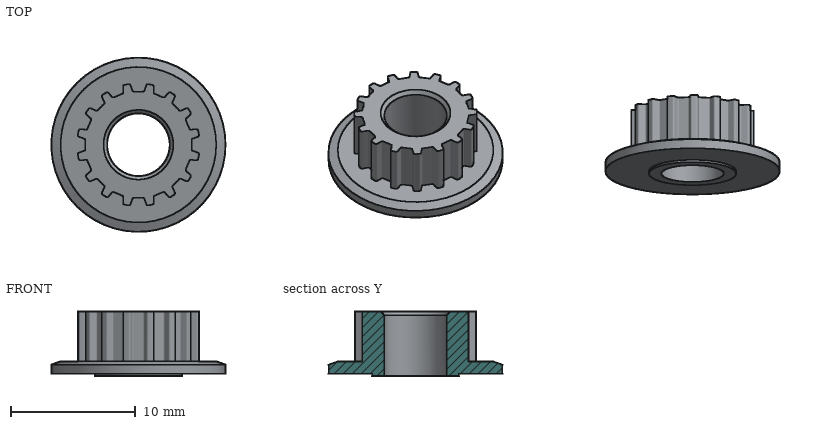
import cadquery as cq
import math

total_height = 5.2
boss_height = 0.18
flange_edge_height = 0.74
flange_bevel_height = 0.27
flange_top = boss_height + flange_edge_height + flange_bevel_height

boss_radius = 3.5
flange_radius = 7.0
flange_top_radius = 6.25
bore_radius = 2.5
bore_chamfer = 0.3

tooth_count = 16
tip_radius = 4.93
groove_floor_distance = 4.27
groove_floor_width = 0.91
groove_flank_angle = 20.0
groove_floor_fillet = 0.11
tooth_tip_fillet = 0.14


def flange_and_boss():
    """Round flange bevelled on its upper rim, with a thin boss below it."""
    profile = [
        (0, 0),
        (boss_radius, 0),
        (boss_radius, boss_height),
        (flange_radius, boss_height),
        (flange_radius, boss_height + flange_edge_height),
        (flange_top_radius, flange_top),
        (0, flange_top),
    ]
    return cq.Workplane("XZ").polyline(profile).close().revolve(360, (0, 0), (0, 1))


def groove_cutter():
    """Prism for one groove on the +X side, widening outward past the tooth tips."""
    outer_distance = tip_radius + tooth_tip_fillet
    widening = (outer_distance - groove_floor_distance) * math.tan(math.radians(groove_flank_angle))
    floor_half = groove_floor_width / 2
    outer_half = floor_half + widening
    outline = [
        (groove_floor_distance, -floor_half),
        (outer_distance, -outer_half),
        (outer_distance, outer_half),
        (groove_floor_distance, floor_half),
    ]
    cutter = cq.Workplane("XY").workplane(offset=flange_top).polyline(outline).close()
    cutter = cutter.extrude(total_height - flange_top)
    return cutter.edges("|Z and <X").fillet(groove_floor_fillet)


def on_tip_circle(edge):
    """Tell whether an upright edge lies on the tooth tip circle."""
    center = edge.Center()
    return math.isclose(math.hypot(center.x, center.y), tip_radius, abs_tol=0.001)


def toothed_wheel():
    """Cylinder with evenly spaced grooves and rounded tooth tips."""
    wheel = cq.Workplane("XY").workplane(offset=flange_top).circle(tip_radius)
    wheel = wheel.extrude(total_height - flange_top)
    cutter = groove_cutter()
    for index in range(tooth_count):
        wheel = wheel.cut(cutter.rotate((0, 0, 0), (0, 0, 1), index * 360 / tooth_count))
    tip_edges = wheel.edges("|Z").filter(on_tip_circle)
    return tip_edges.fillet(tooth_tip_fillet)


def bore_cutter():
    """Through bore with a 45 degree chamfer at its upper mouth."""
    profile = [
        (0, 0),
        (bore_radius, 0),
        (bore_radius, total_height - bore_chamfer),
        (bore_radius + bore_chamfer, total_height),
        (0, total_height),
    ]
    return cq.Workplane("XZ").polyline(profile).close().revolve(360, (0, 0), (0, 1))


result = flange_and_boss().union(toothed_wheel()).cut(bore_cutter())